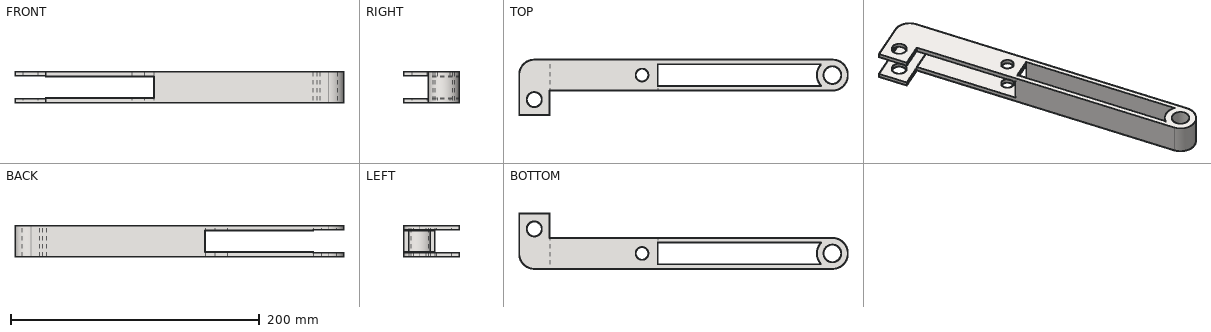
import cadquery as cq

length = 264.5
bar_width = 25.0
height = 25.0
total_width = 44.7
tab_width = 24.5
wall = 4.0
tab_plate = 3.5
fork_depth = 111.5
pivot_diameter = 14.0
tab_hole_diameter = 12.0
tab_hole_inset = 12.5
pin_hole_diameter = 10.0
pin_hole_x = 99.0

end_radius = bar_width / 2
pivot_x = length - end_radius
tab_edge_y = end_radius - total_width
tab_hole_x = tab_width / 2
tab_hole_y = tab_edge_y + tab_hole_inset


def block(x_start, x_end, y_start, y_end, z_start, z_end):
    """Box given by its limits along each axis."""
    return cq.Workplane("XY").box(
        x_end - x_start, y_end - y_start, z_end - z_start, centered=False
    ).translate((x_start, y_start, z_start))


def cylinder(x, y, diameter):
    """Full-height vertical cylinder."""
    return cq.Workplane("XY").center(x, y).circle(diameter / 2).extrude(height)


body = block(0, pivot_x, -end_radius, end_radius, 0, height)
body = body.union(block(0, tab_width, tab_edge_y, end_radius, 0, height))
body = body.edges("|Z and <X and >Y").fillet(end_radius)
pivot_boss = cylinder(pivot_x, 0, bar_width)
body = body.union(pivot_boss)

window_half_width = end_radius - wall
window = block(fork_depth, pivot_x, -window_half_width, window_half_width, 0, height)
body = body.cut(window.cut(pivot_boss))

body = body.cut(block(0, fork_depth, tab_edge_y, end_radius, wall, height - wall))
body = body.cut(block(0, tab_width, tab_edge_y, end_radius, tab_plate, height - tab_plate))

for x, y, diameter in (
    (pivot_x, 0, pivot_diameter),
    (pin_hole_x, 0, pin_hole_diameter),
    (tab_hole_x, tab_hole_y, tab_hole_diameter),
):
    body = body.cut(cylinder(x, y, diameter))

result = body